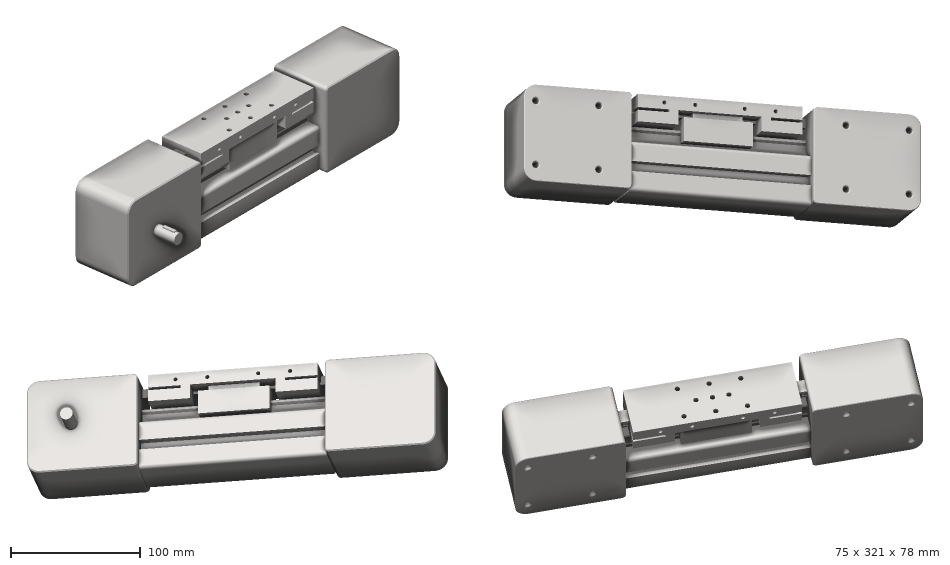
import cadquery as cq


total_length = 321.0
housing_height = 77.0
housing_width = 54.0
housing_length = 87.0
inner_face_y = total_length / 2 - housing_length

outer_corner_radius = 10.0
inner_corner_radius = 3.2
front_chamfer = 0.5
back_chamfer = 1.0
axle_from_end = 35.0
axle_y = total_length / 2 - axle_from_end
axle_z = housing_height / 2
screw_pitch = 51.0
screw_sink_diameter = 6.5
screw_diameter = 5.0
screw_depth = 20.0
screw_point_depth = 1.5

shaft_diameter = 10.0
shaft_overhang = 21.0
shaft_seat = 20.0
key_width = 3.0
key_length = 12.0
key_proud = 1.0
key_depth = 2.0
key_end_gap = 3.0

base_size = 40.0
base_corner_radius = 3.0
slot_mouth = 8.0
slot_inner_width = 12.0
slot_lip = 3.0
slot_depth = 7.0

guide_width = 14.6
guide_height = 15.0
guide_waist_width = 11.0
guide_foot_height = 4.2
guide_waist_bottom = 7.3
guide_waist_top = 11.0
guide_head_height = 13.5
guide_chamfer = 0.8

carriage_length = 133.0
carriage_width = 40.0
carriage_top = 78.0
plate_bottom = 67.5
pad_bottom = 56.0
pad_length = 33.0
clamp_length = 56.0
clamp_width = 32.0
clamp_bottom = 44.4
clamp_top = 63.5
neck_length = 40.0
neck_width = 29.0
guide_clearance = 0.5
side_slit_length = 25.5
tap_diameter = 4.13
tap_depth = 10.0
tap_x = 13.0
tap_y = 25.0
side_tap_diameter = 3.24
side_tap_depth = 8.0
side_tap_z = 72.7
side_tap_positions = (-45.0, -20.0, 20.0, 45.0)

belt_width = 11.4
belt_bottom = 65.3
strand_width = 10.8
strand_top = 72.6


def block(width, length, bottom, top, y=0.0):
    """Box centred on X = 0 and on the given Y, between two heights."""
    return cq.Workplane("XY", origin=(0, y, bottom)).box(
        width, length, top - bottom, centered=(True, True, False)
    )


def make_screw_hole():
    """Countersunk blind hole along +X from the origin, with a drill point at its end."""
    radius = screw_diameter / 2
    sink_radius = screw_sink_diameter / 2
    outline = [
        (0, 0),
        (0, sink_radius),
        (sink_radius - radius, radius),
        (screw_depth, radius),
        (screw_depth + screw_point_depth, 0),
    ]
    return cq.Workplane("XY").polyline(outline).close().revolve(360, (0, 0, 0), (1, 0, 0))


def make_housing(end):
    """Housing at one end of the axis; end is -1 or +1 along Y."""
    centre_y = end * (inner_face_y + housing_length / 2)
    outer_side, inner_side = ("<Y", ">Y") if end < 0 else (">Y", "<Y")
    body = block(housing_width, housing_length, 0, housing_height, centre_y)
    body = body.faces(outer_side).edges("|X").fillet(outer_corner_radius)
    body = body.faces(inner_side).edges("|X").fillet(inner_corner_radius)
    body = body.faces("<X").chamfer(front_chamfer)
    body = body.faces(">X").chamfer(back_chamfer)
    for y_step in (-1, 1):
        for z_step in (-1, 1):
            screw_y = end * axle_y + y_step * screw_pitch / 2
            screw_z = axle_z + z_step * screw_pitch / 2
            body = body.cut(make_screw_hole().translate((-housing_width / 2, screw_y, screw_z)))
    return body


def make_shaft():
    """Keyed drive shaft at the -Y end, pointing to +X."""
    start_x = housing_width / 2 - shaft_seat
    end_x = housing_width / 2 + shaft_overhang
    shaft = cq.Workplane("YZ", origin=(start_x, -axle_y, axle_z)).circle(
        shaft_diameter / 2
    ).extrude(end_x - start_x)
    shaft_top = axle_z + shaft_diameter / 2
    key = block(key_length, key_width, shaft_top - key_depth, shaft_top + key_proud, -axle_y)
    return shaft.union(key.translate((end_x - key_end_gap - key_length / 2, 0, 0)))


def make_side_slot(side):
    """T-slot along one side of the base profile; side is -1 or +1 along X."""
    mouth = slot_mouth / 2
    inner = slot_inner_width / 2
    upper_half = [(0, mouth), (slot_lip, mouth), (slot_lip, inner), (slot_depth, mouth)]
    outline = upper_half + [(depth, -half) for depth, half in reversed(upper_half)]
    points = [(side * (base_size / 2 - depth), base_size / 2 + half) for depth, half in outline]
    return cq.Workplane("XZ").polyline(points).close().extrude(inner_face_y, both=True)


def make_guide(offset=0.0):
    """Waisted guide rail, grown by an offset to form its running clearance."""
    half = guide_width / 2 + offset
    waist = guide_waist_width / 2 + offset
    right_side = [
        (half, 0),
        (half, guide_foot_height - guide_chamfer),
        (half - guide_chamfer, guide_foot_height),
        (waist, guide_waist_bottom),
        (waist, guide_waist_top),
        (half, guide_head_height - guide_chamfer),
        (half, guide_height - guide_chamfer),
        (half - guide_chamfer, guide_height + offset),
    ]
    outline = right_side + [(-x, z) for x, z in reversed(right_side)]
    section = cq.Workplane("XZ", origin=(0, 0, base_size)).polyline(outline).close()
    return section.extrude(inner_face_y, both=True)


def make_rail():
    """Base profile with side slots, carrying the guide rail."""
    base = block(base_size, 2 * inner_face_y, 0, base_size).edges("|Y").fillet(base_corner_radius)
    for side in (-1, 1):
        base = base.cut(make_side_slot(side))
    return base.union(make_guide())


def make_carriage():
    """Carriage plate with end pads, belt clamp and the belt strands clamped in it."""
    plate = block(carriage_width, carriage_length, plate_bottom, carriage_top)
    clamp = block(clamp_width, clamp_length, clamp_bottom, clamp_top).cut(make_guide(guide_clearance))
    body = plate.union(block(neck_width, neck_length, clamp_top, plate_bottom)).union(clamp)

    slit_width = (carriage_width - belt_width) / 2
    for end in (-1, 1):
        pad_y = end * (carriage_length - pad_length) / 2
        slit_y = end * (carriage_length - side_slit_length) / 2
        body = body.union(block(carriage_width, pad_length, pad_bottom, plate_bottom, pad_y))
        slit = block(slit_width, side_slit_length, belt_bottom, plate_bottom, slit_y)
        for side in (-1, 1):
            body = body.cut(slit.translate((side * (carriage_width - slit_width) / 2, 0, 0)))

    tap_points = [(x, y) for x in (-tap_x, tap_x) for y in (-tap_y, 0, tap_y)]
    tap_points += [(0, y) for y in (-tap_x, 0, tap_x)]
    taps = cq.Workplane("XY", origin=(0, 0, carriage_top)).pushPoints(tap_points)
    body = body.cut(taps.circle(tap_diameter / 2).extrude(-tap_depth))

    for side in (-1, 1):
        side_taps = cq.Workplane("YZ", origin=(side * carriage_width / 2, 0, side_tap_z)).pushPoints(
            [(y, 0) for y in side_tap_positions]
        )
        body = body.cut(side_taps.circle(side_tap_diameter / 2).extrude(-side * side_tap_depth))

    belt = block(belt_width, 2 * inner_face_y, belt_bottom, plate_bottom)
    strand_length = inner_face_y - carriage_length / 2
    for end in (-1, 1):
        strand_y = end * (inner_face_y - strand_length / 2)
        belt = belt.union(block(strand_width, strand_length, plate_bottom, strand_top, strand_y))
    return body.union(belt)


shaft = make_shaft()
housings = [make_housing(-1).cut(shaft), make_housing(1)]
rail = make_rail()
carriage = make_carriage()

result = cq.Compound.makeCompound(
    [*(housing.val() for housing in housings), shaft.val(), rail.val(), carriage.val()]
)